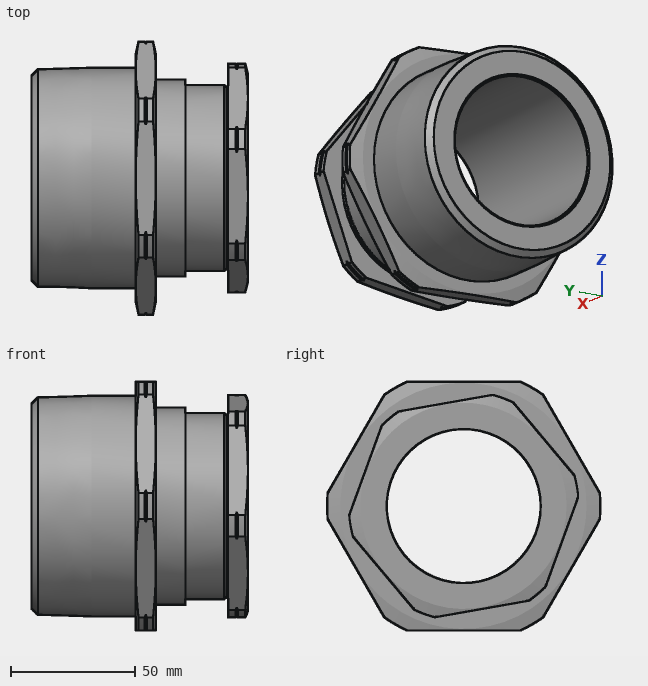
import cadquery as cq
import math

LENGTH = 87.2
TAPER_END_X = 24.3
FLANGE_START_X = 41.9
FLANGE_WIDTH = 8.2
COLLAR_END_X = 61.9
NUT_WIDTH = 8.0

BODY_RADIUS = 44.4
NOSE_RADIUS = 43.8
NOSE_CHAMFER = 2.6
COLLAR_RADIUS = 39.7
NECK_RADIUS = 37.5
BORE_RADIUS = 30.9
BORE_CHAMFER = 0.7

RELIEF_DEPTH = 1.1
RELIEF_NUT_SIDE = 0.7

FLANGE_APOTHEM = 50.0
FLANGE_CORNER_RADIUS = 55.0
NUT_APOTHEM = 42.0
NUT_CORNER_RADIUS = 46.2
NUT_TURN = 10.0
HEX_CHAMFER = 1.2
CHAMFER_INSET = 0.5

MARK_WIDTH = 0.9
MARK_DEPTH = 0.4

FLANGE_END_X = FLANGE_START_X + FLANGE_WIDTH
NUT_START_X = LENGTH - NUT_WIDTH


def revolve_about_x(points):
    """Solid of revolution of an (x, radius) outline about the X axis."""
    return cq.Workplane("XY").polyline(points).close().revolve(360, (0, 0, 0), (1, 0, 0))


def make_body():
    """Turned body: chamfered tapering nose, straight barrel, collar and neck."""
    relief_x = NUT_START_X - RELIEF_NUT_SIDE
    relief_radius = NECK_RADIUS - RELIEF_DEPTH
    return revolve_about_x([
        (0, 0),
        (0, NOSE_RADIUS - NOSE_CHAMFER),
        (NOSE_CHAMFER, NOSE_RADIUS),
        (TAPER_END_X, BODY_RADIUS),
        (FLANGE_START_X, BODY_RADIUS),
        (FLANGE_END_X, COLLAR_RADIUS),
        (COLLAR_END_X, COLLAR_RADIUS),
        (COLLAR_END_X, NECK_RADIUS),
        (relief_x - RELIEF_DEPTH, NECK_RADIUS),
        (relief_x, relief_radius),
        (NUT_START_X, NECK_RADIUS),
        (LENGTH, NECK_RADIUS),
        (LENGTH, 0),
    ])


def make_hexagon(start_x, width, apothem, corner_radius, turn, start_chamfer):
    """Hexagonal plate with a corner toward +Y before turning, rounded and marked at the corners.

    The +X face is always chamfered, the -X face by start_chamfer (may be zero).
    """
    end_x = start_x + width
    face_radius = apothem - CHAMFER_INSET
    corner_diameter = 2 * apothem / math.cos(math.pi / 6)
    prism = (
        cq.Workplane("YZ", origin=(start_x, 0, 0))
        .polygon(6, corner_diameter)
        .extrude(width)
        .rotate((0, 0, 0), (1, 0, 0), turn)
    )

    start_edge_x = start_x + start_chamfer
    end_edge_x = end_x - HEX_CHAMFER
    mark_x = (start_edge_x + end_edge_x) / 2
    envelope = [(start_x, 0)]
    if start_chamfer > 0:
        envelope.append((start_x, face_radius))
    envelope += [
        (start_edge_x, corner_radius),
        (mark_x - MARK_WIDTH / 2, corner_radius),
        (mark_x, corner_radius - MARK_DEPTH),
        (mark_x + MARK_WIDTH / 2, corner_radius),
        (end_edge_x, corner_radius),
        (end_x, face_radius),
        (end_x, 0),
    ]
    return prism.intersect(revolve_about_x(envelope))


def make_bore():
    """Through bore with a small chamfer at the nose."""
    return revolve_about_x([
        (0, 0),
        (0, BORE_RADIUS + BORE_CHAMFER),
        (BORE_CHAMFER, BORE_RADIUS),
        (LENGTH, BORE_RADIUS),
        (LENGTH, 0),
    ])


flange = make_hexagon(
    FLANGE_START_X, FLANGE_WIDTH, FLANGE_APOTHEM, FLANGE_CORNER_RADIUS, 0, HEX_CHAMFER
)
nut = make_hexagon(NUT_START_X, NUT_WIDTH, NUT_APOTHEM, NUT_CORNER_RADIUS, NUT_TURN, 0)

result = make_body().union(flange).union(nut).cut(make_bore())